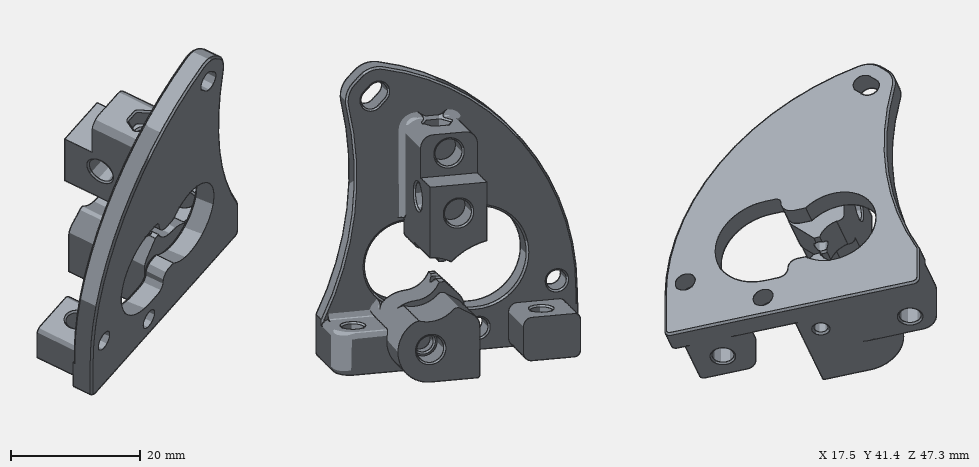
import cadquery as cq
import math


plate_thickness = 3.5
plate_width = 41.4
plate_height = 47.25
corner_radius = 1.0
edge_chamfer = 0.35
hole_chamfer = 0.3
tip_radius = 4.1
tip_y = 32.3
tip_slot_shift = 1.05
outer_arc_radius = 39.85
hollow_arc_radius = 50.9
small_hole_radius = 1.6
small_hole_centers = [(16.05, 3.5), (3.4, 10.05)]

jaw_meeting_z = 15.0
left_circle_y = 27.6
left_circle_radius = 6.8
right_circle_y = 16.4
right_circle_radius = 8.13
bulge_reach = 5.0
upper_corner_radius = 0.95
lower_corner_radius = 1.5

block_depth = 14.0
jaw_depth = 5.65
jaw_tip_gap = 3.3
jaw_tip_right_y = 23.2
jaw_tip_left_y = 24.15
base_fillet = 1.0
skirt_setback = 0.4

upper_right_y = 18.95
upper_left_y = 28.1
upper_top_z = 38.4
upper_round = 2.0
upper_right_end_z = 22.1
upper_left_end_z = 20.12
upper_shoulder_radius = 2.55
step_depth = 8.95
step_z = 31.6

lower_right_y = 20.1
lower_round_y = 28.0
lower_round_radius = 5.3
lower_round_end_y = 30.85
lower_edge_round = 0.43
lower_jaw_shoulder_z = 8.98
lower_jaw_shoulder_radius = 3.05
lower_outer_shoulder_z = 8.45
lower_outer_shoulder_radius = 2.13

foot_depth = 8.0
foot_height = 7.05
foot_hole_x = -3.95
foot_hole_radius = 1.7
right_foot_y = 2.0
right_foot_width = 9.2
right_foot_inner_round = 1.35
right_foot_hole_y = 7.15
left_foot_hole_y = 37.55
left_foot_corner_radius = 2.98

pin_radius = 2.15
pin_depth = 3.8
pin_y = (upper_right_y + upper_left_y) / 2
upper_pin_z = 35.25
middle_pin_z = 27.0
lower_pin_end_radius = 1.6
lower_pin_end_depth = 1.9
cross_hole_x = -7.4
cross_hole_z = 28.15
screw_x = -2.5
screw_radius = 1.1
screw_chamfer = 0.35
nut_flats = 3.95
nut_corner_radius = 0.45
nut_depth = 2.85

tip_right = (tip_y, plate_height - tip_radius)
tip_left = (tip_right[0] + tip_slot_shift, tip_right[1] - tip_slot_shift)
outer_center_drop = math.sqrt((outer_arc_radius - tip_radius) ** 2 - (outer_arc_radius - tip_y) ** 2)
outer_center = (outer_arc_radius, tip_right[1] - outer_center_drop)
hollow_end = (plate_width, foot_height)
upper_tip_z = jaw_meeting_z + jaw_tip_gap / 2
lower_tip_z = jaw_meeting_z - jaw_tip_gap / 2
lower_round_center = (lower_round_y, lower_round_radius)
lower_round_rise = math.sqrt(lower_round_radius**2 - (lower_round_end_y - lower_round_y) ** 2)
lower_round_end = (lower_round_end_y, lower_round_radius + lower_round_rise)


def along_x(x_start, x_end, outline):
    """Extrude a closed Y-Z outline from x_start to x_end."""
    return outline(cq.Workplane("YZ", origin=(x_start, 0, 0))).extrude(x_end - x_start)


def box(x_range, y_range, z_range):
    ranges = (x_range, y_range, z_range)
    size = [high - low for low, high in ranges]
    corner = tuple(low for low, high in ranges)
    return cq.Workplane("XY").box(*size, centered=False).translate(corner)


def cone(point, direction, start_radius, end_radius, height):
    return cq.Workplane(
        obj=cq.Solid.makeCone(start_radius, end_radius, height, cq.Vector(*point), cq.Vector(*direction))
    )


def hole(point, direction, radius, depth, chamfer=hole_chamfer):
    """Bore starting at point, with a chamfered mouth there."""
    bore = cq.Solid.makeCylinder(radius, depth, cq.Vector(*point), cq.Vector(*direction))
    return cone(point, direction, radius + chamfer, radius, chamfer).union(cq.Workplane(obj=bore))


def on_circle(center, radius, degrees):
    angle = math.radians(degrees)
    return center[0] + radius * math.cos(angle), center[1] + radius * math.sin(angle)


def toward(center, target, distance):
    """Point at a distance from center in the direction of target."""
    length = math.dist(center, target)
    return tuple(c + (t - c) * distance / length for c, t in zip(center, target))


def midpoint(first, second):
    return (first[0] + second[0]) / 2, (first[1] + second[1]) / 2


def hollow_arc_center():
    """Centre of the arc that touches the left tip circle and ends at hollow_end."""
    span = math.dist(hollow_end, tip_left)
    along = (hollow_arc_radius**2 - (hollow_arc_radius + tip_radius) ** 2 + span**2) / (2 * span)
    aside = math.sqrt(hollow_arc_radius**2 - along**2)
    unit_y = (tip_left[0] - hollow_end[0]) / span
    unit_z = (tip_left[1] - hollow_end[1]) / span
    center_y = hollow_end[0] + along * unit_y + aside * unit_z
    center_z = hollow_end[1] + along * unit_z - aside * unit_y
    return center_y, center_z


def plate_outline(sketch):
    hollow_center = hollow_arc_center()
    outer_start = (0, outer_center[1])
    outer_end = toward(outer_center, tip_right, outer_arc_radius)
    tip_end = toward(tip_left, hollow_center, tip_radius)
    outer_middle = toward(outer_center, midpoint(outer_start, outer_end), outer_arc_radius)
    hollow_middle = toward(hollow_center, midpoint(tip_end, hollow_end), hollow_arc_radius)
    return (
        sketch.moveTo(0, 0)
        .lineTo(*outer_start)
        .threePointArc(outer_middle, outer_end)
        .threePointArc(on_circle(tip_right, tip_radius, 75), on_circle(tip_right, tip_radius, 45))
        .lineTo(*on_circle(tip_left, tip_radius, 45))
        .threePointArc(on_circle(tip_left, tip_radius, 15), tip_end)
        .threePointArc(hollow_middle, hollow_end)
        .lineTo(plate_width, 0)
        .close()
    )


def opening_outline(sketch):
    """Two overlapping circles; plate material bulges in between them behind each jaw."""
    left_center = (left_circle_y, jaw_meeting_z)
    right_center = (right_circle_y, jaw_meeting_z)
    bulge_end_y = left_circle_y - math.sqrt(left_circle_radius**2 - bulge_reach**2)

    def edge_beside_block(side_y, corner, direction):
        """Points from the right circle's flat, around the corner, over the bulge to the left circle."""
        flat_z = jaw_meeting_z + direction * right_circle_radius
        bulge_z = jaw_meeting_z + direction * bulge_reach
        side_z = flat_z - direction * corner
        bulge = abs(side_z - bulge_z)
        near = 1 - math.sqrt(0.5)
        return [
            (side_y - corner, flat_z),
            (side_y - corner * near, flat_z - direction * corner * near),
            (side_y, side_z),
            (side_y + bulge * near, bulge_z + direction * bulge * near),
            (side_y + bulge, bulge_z),
            (bulge_end_y, bulge_z),
        ]

    upper = edge_beside_block(upper_right_y, upper_corner_radius, 1)
    lower = edge_beside_block(lower_right_y, lower_corner_radius, -1)
    right_top = (right_circle_y, jaw_meeting_z + right_circle_radius)
    right_bottom = (right_circle_y, jaw_meeting_z - right_circle_radius)
    return (
        sketch.moveTo(*right_bottom)
        .threePointArc(on_circle(right_center, right_circle_radius, 180), right_top)
        .lineTo(*upper[0])
        .threePointArc(upper[1], upper[2])
        .threePointArc(upper[3], upper[4])
        .lineTo(*upper[5])
        .threePointArc(on_circle(left_center, left_circle_radius, 0), lower[5])
        .lineTo(*lower[4])
        .threePointArc(lower[3], lower[2])
        .threePointArc(lower[1], lower[0])
        .close()
    )


def make_tip_slot():
    """Slanted slot near the tip, with a chamfered mouth on the front face."""
    length = math.dist(tip_right, tip_left)
    straight = along_x(0, plate_thickness, lambda sketch: sketch.rect(length, 2 * small_hole_radius))
    mouth = (
        cq.Workplane("YZ")
        .rect(length, 2 * (small_hole_radius + hole_chamfer))
        .workplane(offset=hole_chamfer)
        .rect(length, 2 * small_hole_radius)
        .loft(ruled=True)
    )
    slot = straight.union(mouth).rotate((0, 0, 0), (1, 0, 0), -45)
    slot = slot.translate((0, *midpoint(tip_right, tip_left)))
    for y, z in (tip_right, tip_left):
        slot = slot.union(hole((0, y, z), (1, 0, 0), small_hole_radius, plate_thickness))
    return slot


def make_plate():
    blank = along_x(0, plate_thickness, plate_outline)
    plate = blank.edges("|X and <Z").fillet(corner_radius)
    plate = plate.faces(">X").chamfer(edge_chamfer)
    feet_zone = box((0, plate_thickness), (0, plate_width), (0, foot_height - corner_radius))
    plate = plate.intersect(blank.faces("<X").chamfer(edge_chamfer).union(feet_zone))

    plate = plate.cut(along_x(0, plate_thickness, opening_outline))
    right_side = (right_circle_y - right_circle_radius, upper_right_y - upper_corner_radius)
    left_side = (jaw_tip_left_y, left_circle_y + left_circle_radius)
    opening_bottom = jaw_meeting_z - right_circle_radius - 0.45
    opening_top = jaw_meeting_z + right_circle_radius + 0.45
    for y_low, y_high in (right_side, left_side):
        zone = cq.selectors.BoxSelector((-0.05, y_low, opening_bottom), (0.05, y_high, opening_top))
        plate = plate.faces("<X").edges(zone).chamfer(edge_chamfer)

    for y, z in small_hole_centers:
        plate = plate.cut(hole((0, y, z), (1, 0, 0), small_hole_radius, plate_thickness))
    return plate.cut(make_tip_slot())


def shoulder(side_y, side_z, radius, turn, direction):
    """Middle and end of an arc that leaves a vertical side and turns toward +Y."""
    return [
        (
            side_y + radius * (1 - math.cos(math.radians(angle))),
            side_z + direction * radius * math.sin(math.radians(angle)),
        )
        for angle in (turn / 2, turn)
    ]


def upper_column(sketch):
    """Right side, rounded top and left side of the upper block, left open at the bottom."""
    round_z = upper_top_z - upper_round
    left_y = upper_left_y - upper_round
    right_y = upper_right_y + upper_round
    return (
        sketch.moveTo(upper_right_y, upper_right_end_z)
        .lineTo(upper_right_y, round_z)
        .threePointArc(on_circle((right_y, round_z), upper_round, 135), (right_y, upper_top_z))
        .lineTo(left_y, upper_top_z)
        .threePointArc(on_circle((left_y, round_z), upper_round, 45), (upper_left_y, round_z))
        .lineTo(upper_left_y, upper_left_end_z)
    )


def upper_outer_profile(sketch):
    return (
        upper_column(sketch)
        .threePointArc((26.25, 19.9), (24.7, 19.2))
        .threePointArc((22.0, 21.05), (upper_right_y, upper_right_end_z))
        .close()
    )


def upper_jaw_profile(sketch):
    middle, end = shoulder(upper_right_y, upper_right_end_z, upper_shoulder_radius, 45, -1)
    return (
        upper_column(sketch)
        .threePointArc((27.82, 19.45), (26.9, 19.2))
        .threePointArc((25.2, 18.3), (jaw_tip_left_y, upper_tip_z))
        .lineTo(jaw_tip_right_y, upper_tip_z)
        .lineTo(*end)
        .threePointArc(middle, (upper_right_y, upper_right_end_z))
        .close()
    )


def make_upper_block():
    block = along_x(-block_depth, 0, upper_outer_profile)
    block = block.union(along_x(-jaw_depth, 0, upper_jaw_profile))
    return block.cut(box((-block_depth, -step_depth), (0, plate_width), (step_z, plate_height)))


def close_lower_round(sketch):
    """Close a lower profile around the circular left side of the block."""
    side = (lower_round_y + lower_round_radius, lower_round_radius)
    return sketch.threePointArc(side, (lower_round_y, 0)).close()


def lower_outer_profile(sketch):
    middle, end = shoulder(lower_right_y, lower_outer_shoulder_z, lower_outer_shoulder_radius, 60, 1)
    return close_lower_round(
        sketch.moveTo(lower_round_y, 0)
        .lineTo(lower_right_y, 0)
        .lineTo(lower_right_y, lower_outer_shoulder_z)
        .threePointArc(middle, end)
        .lineTo(23.0, 11.4)
        .threePointArc((23.6, 11.65), (24.25, 11.55))
        .threePointArc((26.05, 10.25), (29.3, 9.9))
        .lineTo(29.85, 10.05)
        .threePointArc((30.38, 9.95), lower_round_end)
    )


def lower_jaw_profile(sketch):
    middle, end = shoulder(lower_right_y, lower_jaw_shoulder_z, lower_jaw_shoulder_radius, 45, 1)
    return close_lower_round(
        sketch.moveTo(lower_round_y, 0)
        .lineTo(lower_right_y, 0)
        .lineTo(lower_right_y, lower_jaw_shoulder_z)
        .threePointArc(middle, end)
        .lineTo(jaw_tip_right_y, lower_tip_z)
        .lineTo(jaw_tip_left_y, lower_tip_z)
        .threePointArc((25.45, 11.6), (27.85, 10.7))
        .threePointArc((29.45, 10.45), lower_round_end)
    )


def make_lower_block():
    block = along_x(-block_depth, 0, lower_outer_profile)
    block = block.union(along_x(-jaw_depth, 0, lower_jaw_profile))
    corner = cq.selectors.BoxSelector(
        (-block_depth, lower_right_y - 0.05, -0.05), (0, lower_right_y + 0.05, 0.05)
    )
    return block.edges(corner).fillet(lower_edge_round)


def make_right_foot():
    foot = box((-foot_depth, 0), (right_foot_y, right_foot_y + right_foot_width), (0, foot_height))
    foot = foot.edges("|X and <Y").fillet(corner_radius)
    return foot.edges("|X and >Y").fillet(right_foot_inner_round)


def make_left_foot():
    """Foot that runs into the lower block, rounded along its outer rims."""
    foot = box((-foot_depth, 0), (lower_round_y, plate_width), (0, foot_height))
    foot = foot.edges("|Z and <X and >Y").fillet(left_foot_corner_radius)
    outer_rims = cq.selectors.BoxSelector(
        (-foot_depth - 0.45, lower_round_y + 0.45, -0.45), (-0.05, plate_width + 0.45, foot_height + 0.45)
    )
    return foot.faces("<Z or >Z").edges(outer_rims).fillet(corner_radius)


def fillet_skirt(column, zone):
    """Fillet around the foot of a column standing on X = 0, keeping what lies in the zone."""
    slab = box((0, plate_thickness), (-plate_width, 2 * plate_width), (-plate_height, 2 * plate_height))
    base_edges = cq.selectors.BoxSelector(
        (-0.05, -plate_width, zone[1][0] - 0.05), (0.05, 2 * plate_width, plate_height)
    )
    rounded = slab.union(column).edges(base_edges).fillet(base_fillet)
    return rounded.intersect(box((-base_fillet, 0), *zone))


def make_skirts():
    """Fillets of the upper block and of the left foot, cut back around the opening."""
    upper = fillet_skirt(
        along_x(-jaw_depth, 0, lambda sketch: upper_column(sketch).close()),
        ((0, plate_width), (upper_right_end_z + 0.45, plate_height)),
    )
    wide_foot = box((-jaw_depth, 0), (-plate_width, 2 * plate_width), (-plate_height, foot_height))
    round_part = along_x(-jaw_depth, 0, lambda sketch: sketch.center(*lower_round_center).circle(lower_round_radius))
    left = fillet_skirt(
        wide_foot.union(round_part),
        ((lower_round_end_y, plate_width - corner_radius), (foot_height, plate_height)),
    )
    skirts = upper.union(left)
    for y, radius in (
        (left_circle_y, left_circle_radius),
        (upper_right_y - upper_corner_radius, right_circle_radius),
    ):
        rim = radius + skirt_setback
        skirts = skirts.cut(cone((0, y, jaw_meeting_z), (-1, 0, 0), rim, rim + base_fillet, base_fillet))
    return skirts


def make_pin_holes():
    """Blind holes into the three stepped faces; the lower one has a narrower end."""
    lower_mouth = (-block_depth, *lower_round_center)
    lower_end = (-block_depth + pin_depth, *lower_round_center)
    return [
        hole((-step_depth, pin_y, upper_pin_z), (1, 0, 0), pin_radius, pin_depth),
        hole((-block_depth, pin_y, middle_pin_z), (1, 0, 0), pin_radius, pin_depth),
        hole(lower_mouth, (1, 0, 0), pin_radius, pin_depth),
        hole(lower_end, (1, 0, 0), lower_pin_end_radius, lower_pin_end_depth),
    ]


def make_through_holes():
    """Cross hole along Y and upright foot holes, chamfered at both mouths."""
    width = upper_left_y - upper_right_y
    holes = [
        hole((cross_hole_x, upper_right_y, cross_hole_z), (0, 1, 0), pin_radius, width),
        hole((cross_hole_x, upper_left_y, cross_hole_z), (0, -1, 0), pin_radius, width),
    ]
    for y in (right_foot_hole_y, left_foot_hole_y):
        holes.append(hole((foot_hole_x, y, 0), (0, 0, 1), foot_hole_radius, foot_height))
        holes.append(hole((foot_hole_x, y, foot_height), (0, 0, -1), foot_hole_radius, foot_height))
    return holes


def make_clamp_screw():
    """Upright screw hole across both jaws, chamfered at each mouth, under a hexagonal nut pocket."""
    floor_z = upper_top_z - nut_depth
    screw = [
        hole((screw_x, pin_y, z), (0, 0, direction), screw_radius, length, screw_chamfer)
        for z, direction, length in (
            (floor_z, -1, floor_z - upper_tip_z),
            (upper_tip_z, 1, floor_z - upper_tip_z),
            (lower_tip_z, -1, lower_tip_z),
            (0, 1, lower_tip_z),
        )
    ]
    hexagon = cq.Sketch().regularPolygon(nut_flats / math.sqrt(3), 6).vertices().fillet(nut_corner_radius)
    pocket = cq.Workplane("XY", origin=(screw_x, pin_y, floor_z)).placeSketch(hexagon).extrude(nut_depth)
    flare = (
        cq.Workplane("XY", origin=(screw_x, pin_y, upper_top_z - hole_chamfer))
        .placeSketch(hexagon)
        .extrude(hole_chamfer + base_fillet, taper=-45)
        .intersect(box((-block_depth, 0), (0, plate_width), (0, plate_height)))
    )
    return screw + [pocket, flare]


result = make_plate()
for feature in (make_upper_block(), make_lower_block(), make_right_foot(), make_left_foot(), make_skirts()):
    result = result.union(feature)
for cutter in make_pin_holes() + make_through_holes() + make_clamp_screw():
    result = result.cut(cutter)